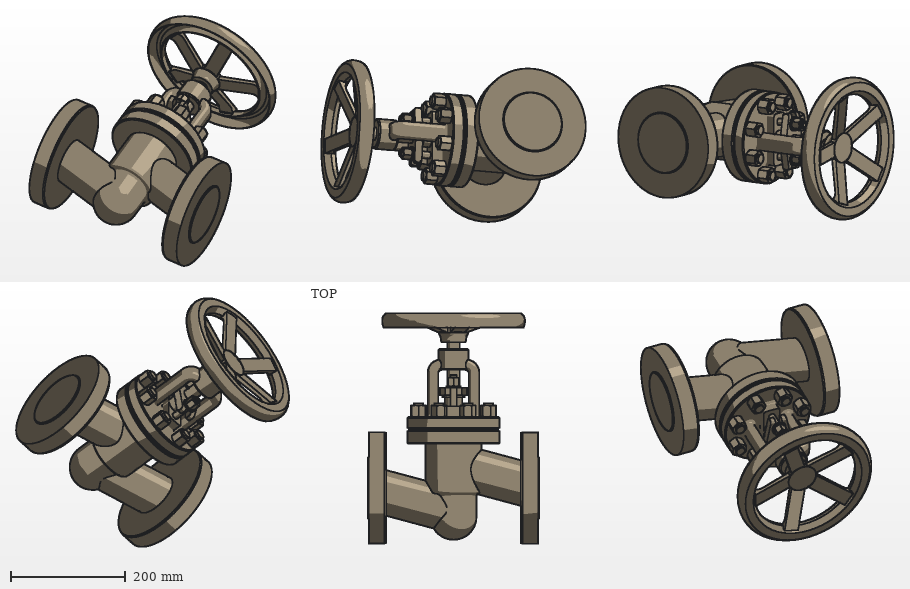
import cadquery as cq
import math


face_to_face = 300.0
pipe_flange_radius = 97.5
pipe_flange_thickness = 29.8
pipe_flange_chamfer_length = 3.0
pipe_flange_chamfer_depth = 1.2
raised_face_radius = 54.0
raised_face_height = 2.5
raised_face_chamfer = 1.5
pipe_radius = 38.5
pipe_tilt = 15

body_radius = 49.0
body_shoulder_y = -5.5
lower_body_radius = 40.2
dome_center_y = -50.5

bonnet_radius = 80.5
bonnet_chamfer = 2.0
body_flange_bottom = 77.0
body_flange_top = 100.5
bonnet_bottom = 103.5
bonnet_top = 124.0
gasket_radius = 54.5

stud_count = 8
stud_circle_radius = 66.0
stud_radius = 8
stud_tip_y = 148.0
nut_flats = 24
nut_height = 20
nut_chamfer = 1.2
nut_turn = -7.5

gland_block_length = 92.5
gland_block_width = 30.5
gland_block_corner = 5.5
gland_block_top = 143.0
base_fillet = 5.0
sleeve_radius = 15.5
collar_radius = 19.5
collar_height = 3.2
bridge_bottom = 162.0
bridge_top = 175.0
bridge_half_length = 49.5
bridge_half_width = 23.7
bridge_tip_half_width = 14.5
bridge_tip_fillet = 5.0
gland_stud_offset = 31.0
gland_stud_radius = 6.0
gland_stud_tip_y = 197.5
gland_stud_chamfer = 1.5
gland_washer_radius = 12.5
gland_washer_thickness = 2.5
gland_nut_flats = 19.0
gland_nut_height = 15.3

yoke_hub_radius = 26.5
yoke_hub_bottom = 206.0
yoke_hub_top = 242.7
yoke_hub_chamfer = 2.5
leg_width = 19.0
leg_depth = 31.8
leg_offset = 36.0
leg_bend_start_y = 201.0
leg_bend_radius = 14.0

stem_radius = 11.3
wheel_top = 305.0
rim_bottom = 280.0
rim_diameter = 250.0
rim_radius = rim_diameter / 2
rim_widest_y = 292.2
rim_lip_outer_radius = 122.5
rim_lip_inner_radius = 121.0
rim_top_radius = 117.5
groove_floor_y = 295.5
groove_floor_outer_radius = 113.0
groove_floor_inner_radius = 106.5
inner_lip_y = 285.0
inner_lip_outer_radius = 99.5
inner_lip_inner_radius = 97.5
rim_bore_radius = 95.5
rim_bore_top_y = 294
rim_top_inner_radius = 102.5
hub_radius = 22.0
hub_flare_radius = 25.0
hub_shoulder_radius = 26.0
hub_bottom = 254.5
hub_chamfer = 1.2
hub_flare_start_y = 258.0
hub_flare_end_y = 268.0
hub_shoulder_y = 271.3
hub_top = 281.8
spoke_count = 5
spoke_width = 26.5
spoke_root_thickness = 9.0
spoke_slope = 0.35
spoke_root_radius = 20
spoke_root_y = 270.5
spoke_blend_radius = 78.5
spoke_tip_radius = 97.5
spoke_blend_end_radius = 93.8
spoke_tip_bottom_y = 289.0
spoke_tip_top_y = 304.0


def cylinder_y(radius, bottom, top, x=0, z=0):
    return cq.Workplane("ZX", origin=(x, bottom, z)).circle(radius).extrude(top - bottom)


def nut_y(flats, bottom, top, x, z, corner_angle):
    """Hexagon nut along Y; one corner points at corner_angle, measured from +X towards +Z."""
    corner_radius = flats / math.sqrt(3)
    corners = [
        (
            corner_radius * math.sin(math.radians(corner_angle + 60 * index)),
            corner_radius * math.cos(math.radians(corner_angle + 60 * index)),
        )
        for index in range(6)
    ]
    prism = cq.Workplane("ZX", origin=(x, bottom, z)).polyline(corners).close().extrude(top - bottom)
    turned = cylinder_y(corner_radius, bottom, top, x, z).edges().chamfer(nut_chamfer)
    return prism.intersect(turned)


def revolve_y(profile):
    return profile.close().revolve(360, (0, 0, 0), (0, 1, 0))


def pipe_end():
    """Flange and sloping pipe on the -X end; the pipe drops towards the stem axis."""
    face_x = -face_to_face / 2
    flange_x = face_x + raised_face_height
    raised_face = cq.Workplane("YZ", origin=(face_x, 0, 0)).circle(raised_face_radius)
    raised_face = raised_face.extrude(raised_face_height).faces("<X").chamfer(raised_face_chamfer)
    flange = cq.Workplane("YZ", origin=(flange_x, 0, 0)).circle(pipe_flange_radius)
    flange = flange.extrude(pipe_flange_thickness).faces(">X")
    flange = flange.chamfer(pipe_flange_chamfer_length, pipe_flange_chamfer_depth)

    tilt = math.radians(pipe_tilt)
    direction = cq.Vector(math.cos(tilt), -math.sin(tilt), 0)
    length = -face_x / math.cos(tilt)
    pipe = cq.Solid.makeCylinder(pipe_radius, length, cq.Vector(face_x, 0, 0), direction)
    trim_width = 4 * pipe_flange_radius
    behind_flange = cq.Workplane("XY").box(-flange_x, trim_width, trim_width)
    behind_flange = behind_flange.translate((flange_x / 2, 0, 0))
    return flange.union(raised_face).union(behind_flange.intersect(cq.Workplane(pipe)))


def valve_body():
    """Turned body with an S-shaped shoulder, a domed bottom and a flange on top."""
    step = (body_radius - lower_body_radius) / 2
    diagonal = step * math.sqrt(0.5)
    middle_radius = body_radius - step
    dome_diagonal = lower_body_radius * math.sqrt(0.5)
    profile = (
        cq.Workplane("XY")
        .moveTo(0, dome_center_y - lower_body_radius)
        .threePointArc((dome_diagonal, dome_center_y - dome_diagonal), (lower_body_radius, dome_center_y))
        .lineTo(lower_body_radius, body_shoulder_y - 2 * step)
        .threePointArc(
            (middle_radius - diagonal, body_shoulder_y - 2 * step + diagonal),
            (middle_radius, body_shoulder_y - step),
        )
        .threePointArc(
            (middle_radius + diagonal, body_shoulder_y - diagonal),
            (body_radius, body_shoulder_y),
        )
        .lineTo(body_radius, body_flange_bottom)
        .lineTo(0, body_flange_bottom)
    )
    flange = cylinder_y(bonnet_radius, body_flange_bottom, body_flange_top).edges().chamfer(bonnet_chamfer)
    gasket = cylinder_y(gasket_radius, body_flange_top, bonnet_bottom)
    return revolve_y(profile).union(flange).union(gasket)


def yoke_leg():
    """Flat-sided leg on the +X side that bends inward into the yoke hub."""
    foot = cq.Workplane("ZX", origin=(leg_offset, bonnet_top, 0)).slot2D(leg_depth, leg_width)
    straight = foot.extrude(leg_bend_start_y - bonnet_top)
    bend = cq.Workplane("ZX", origin=(leg_offset, leg_bend_start_y, 0)).slot2D(leg_depth, leg_width)
    bend = bend.revolve(90, (0, -leg_bend_radius, 0), (1, -leg_bend_radius, 0))
    return straight.union(bend)


def bonnet():
    """Bonnet flange with the gland block and the yoke standing on it."""
    flange = cylinder_y(bonnet_radius, bonnet_bottom, bonnet_top).edges().chamfer(bonnet_chamfer)
    block = cq.Workplane("ZX", origin=(0, bonnet_top, 0)).rect(gland_block_length, gland_block_width)
    block = block.extrude(gland_block_top - bonnet_top).edges("|Y").fillet(gland_block_corner)
    hub = cylinder_y(yoke_hub_radius, yoke_hub_bottom, yoke_hub_top).edges().chamfer(yoke_hub_chamfer)
    leg = yoke_leg()
    standing = flange.union(block).union(leg).union(leg.mirror("YZ"))
    reach = bonnet_radius - 2 * bonnet_chamfer
    margin = 0.5
    feet = cq.selectors.BoxSelector(
        (-reach, bonnet_top - margin, -reach),
        (reach, bonnet_top + margin, reach),
        boundingbox=True,
    )
    standing = standing.edges(feet).fillet(base_fillet)
    return standing.union(hub)


def bonnet_studs():
    studs = cq.Workplane("XY")
    for index in range(stud_count):
        angle = (index + 0.5) * 360 / stud_count
        x = stud_circle_radius * math.cos(math.radians(angle))
        z = stud_circle_radius * math.sin(math.radians(angle))
        studs = studs.union(cylinder_y(stud_radius, body_flange_bottom, stud_tip_y, x, z))
        nut = nut_y(nut_flats, bonnet_top, bonnet_top + nut_height, x, z, angle + nut_turn)
        studs = studs.union(nut)
    return studs


def gland():
    """Packing sleeve pressed down by a slotted bridge on two studs."""
    sleeve = cylinder_y(sleeve_radius, bonnet_top, bridge_bottom)
    collar = cylinder_y(collar_radius, bridge_bottom - collar_height, bridge_bottom)
    outline = [
        (bridge_half_length, bridge_tip_half_width),
        (0, bridge_half_width),
        (-bridge_half_length, bridge_tip_half_width),
        (-bridge_half_length, -bridge_tip_half_width),
        (0, -bridge_half_width),
        (bridge_half_length, -bridge_tip_half_width),
    ]
    bridge = cq.Workplane("ZX", origin=(0, bridge_bottom, 0)).polyline(outline).close()
    bridge = bridge.extrude(bridge_top - bridge_bottom)
    bridge = bridge.faces("<Z or >Z").edges("|X").fillet(bridge_tip_fillet)
    slot_length = bridge_half_length - gland_stud_offset
    for side in (-1, 1):
        slot_middle = side * (gland_stud_offset + slot_length / 2)
        slot = cq.Workplane("ZX", origin=(0, bridge_bottom, slot_middle))
        slot = slot.rect(slot_length, 2 * gland_stud_radius).extrude(bridge_top - bridge_bottom)
        bridge = bridge.cut(slot)

    assembly = sleeve.union(collar).union(bridge)
    washer_top = bridge_top + gland_washer_thickness
    for z in (-gland_stud_offset, gland_stud_offset):
        stud = cylinder_y(gland_stud_radius, bonnet_top, gland_stud_tip_y, 0, z)
        stud = stud.faces(">Y").chamfer(gland_stud_chamfer)
        washer = cylinder_y(gland_washer_radius, bridge_top, washer_top, 0, z)
        nut = nut_y(gland_nut_flats, washer_top, washer_top + gland_nut_height, 0, z, 90)
        assembly = assembly.union(stud).union(washer).union(nut)
    return assembly


def tangent_arc_middle(start, end):
    """Middle of the arc that leaves start parallel to Y and passes through end."""
    across = end[0] - start[0]
    along = end[1] - start[1]
    radius = (across**2 + along**2) / (2 * abs(across))
    half_angle = math.atan2(abs(across), abs(along))
    middle_across = math.copysign(radius * (1 - math.cos(half_angle)), across)
    middle_along = math.copysign(radius * math.sin(half_angle), along)
    return (start[0] + middle_across, start[1] + middle_along)


def wheel_rim():
    """Rounded rim with a channel that opens towards the valve."""
    lip = (rim_lip_outer_radius, rim_bottom)
    lip_inside = (rim_lip_inner_radius, rim_bottom)
    widest = (rim_radius, rim_widest_y)
    crown = (rim_top_radius, wheel_top)
    floor_outside = (groove_floor_outer_radius, groove_floor_y)
    floor_inside = (groove_floor_inner_radius, groove_floor_y)
    inner_lip = (inner_lip_outer_radius, inner_lip_y)
    profile = (
        cq.Workplane("XY")
        .moveTo(*lip_inside)
        .lineTo(*lip)
        .threePointArc(tangent_arc_middle(widest, lip), widest)
        .threePointArc(tangent_arc_middle(widest, crown), crown)
        .lineTo(rim_top_inner_radius, wheel_top)
        .lineTo(rim_bore_radius, rim_bore_top_y)
        .lineTo(inner_lip_inner_radius, inner_lip_y)
        .lineTo(*inner_lip)
        .threePointArc(tangent_arc_middle(inner_lip, floor_inside), floor_inside)
        .lineTo(*floor_outside)
        .threePointArc(tangent_arc_middle(lip_inside, floor_outside), lip_inside)
    )
    return revolve_y(profile)


def wheel_hub():
    flare_start = (hub_radius, hub_flare_start_y)
    flare_end = (hub_flare_radius, hub_flare_end_y)
    profile = (
        cq.Workplane("XY")
        .moveTo(0, hub_bottom)
        .lineTo(hub_radius - hub_chamfer, hub_bottom)
        .lineTo(*flare_start)
        .threePointArc(tangent_arc_middle(flare_start, flare_end), flare_end)
        .lineTo(hub_shoulder_radius, hub_shoulder_y)
        .lineTo(hub_shoulder_radius, hub_top)
        .lineTo(0, hub_top)
    )
    return revolve_y(profile)


def wheel_spokes():
    """Sloping flat spokes whose undersides curve into the inner lip of the rim."""
    blend_y = spoke_root_y + spoke_slope * (spoke_blend_radius - spoke_root_radius)
    spoke = (
        cq.Workplane("XY")
        .moveTo(spoke_root_radius, spoke_root_y)
        .lineTo(spoke_blend_radius, blend_y)
        .tangentArcPoint((spoke_blend_end_radius, spoke_tip_bottom_y), relative=False)
        .lineTo(spoke_tip_radius, spoke_tip_bottom_y)
        .lineTo(spoke_tip_radius, spoke_tip_top_y)
        .lineTo(spoke_root_radius, spoke_root_y + spoke_root_thickness)
        .close()
        .extrude(spoke_width / 2, both=True)
    )
    spokes = cq.Workplane("XY")
    for index in range(spoke_count):
        spokes = spokes.union(spoke.rotate((0, 0, 0), (0, 1, 0), index * 360 / spoke_count))
    return spokes


end = pipe_end()
stem = cylinder_y(stem_radius, bridge_bottom, hub_bottom)
result = (
    valve_body()
    .union(end)
    .union(end.rotate((0, 0, 0), (0, 0, 1), 180))
    .union(bonnet())
    .union(bonnet_studs())
    .union(gland())
    .union(stem)
    .union(wheel_hub())
    .union(wheel_spokes())
    .union(wheel_rim())
)